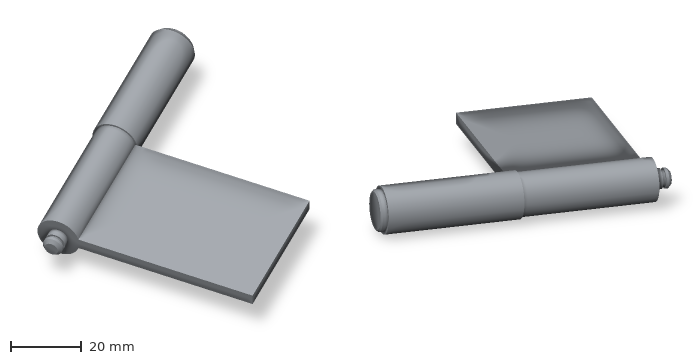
import cadquery as cq

TOTAL_LENGTH = 87.0
BARREL_LENGTH = 40.0

SLEEVE_RADIUS = 14.0 / 2
KNUCKLE_RADIUS = 12.9 / 2
LEAF_THICKNESS = 3.5
LEAF_REACH = 67.0 - SLEEVE_RADIUS

PIN_RADIUS = 6.0 / 2
HEAD_RADIUS = 12.2 / 2
HEAD_HEIGHT = 2.0
HEAD_CHAMFER = 0.5
TIP_CHAMFER = 1.0
TIP_LENGTH = TOTAL_LENGTH - 2 * BARREL_LENGTH - HEAD_HEIGHT
GROOVE_OFFSET = 2.2
GROOVE_WIDTH = 1.0
GROOVE_DEPTH = 0.5


def cylinder(radius, y_start, y_end):
    """Cylinder on the hinge axis between two Y positions."""
    plane = cq.Workplane("XZ", origin=(0, y_end, 0))
    return plane.circle(radius).extrude(y_end - y_start)


def make_sleeve():
    """Plain tube above the leaf knuckle."""
    bore = cylinder(PIN_RADIUS, 0, BARREL_LENGTH)
    return cylinder(SLEEVE_RADIUS, 0, BARREL_LENGTH).cut(bore)


def make_leaf():
    """Flat leaf joined to its bored knuckle."""
    knuckle = cylinder(KNUCKLE_RADIUS, -BARREL_LENGTH, 0)
    plate = cq.Workplane("XY").box(
        LEAF_REACH, BARREL_LENGTH, LEAF_THICKNESS, centered=(False, False, True)
    ).translate((0, -BARREL_LENGTH, 0))
    bore = cylinder(PIN_RADIUS, -BARREL_LENGTH, 0)
    return knuckle.union(plate).cut(bore)


def make_pin():
    """Headed pin with a chamfered tip and a retaining groove."""
    tip_end = -BARREL_LENGTH - TIP_LENGTH
    shank = cylinder(PIN_RADIUS, tip_end, BARREL_LENGTH).faces("<Y").chamfer(TIP_CHAMFER)
    head = cylinder(HEAD_RADIUS, BARREL_LENGTH, BARREL_LENGTH + HEAD_HEIGHT)
    head = head.faces(">Y").chamfer(HEAD_CHAMFER)

    groove_top = -BARREL_LENGTH - GROOVE_OFFSET
    groove_bottom = groove_top - GROOVE_WIDTH
    groove_core = cylinder(PIN_RADIUS - GROOVE_DEPTH, groove_bottom, groove_top)
    groove = cylinder(PIN_RADIUS, groove_bottom, groove_top).cut(groove_core)
    return shank.union(head).cut(groove)


sleeve = make_sleeve()
leaf = make_leaf()
pin = make_pin()

result = cq.Compound.makeCompound([sleeve.val(), leaf.val(), pin.val()])